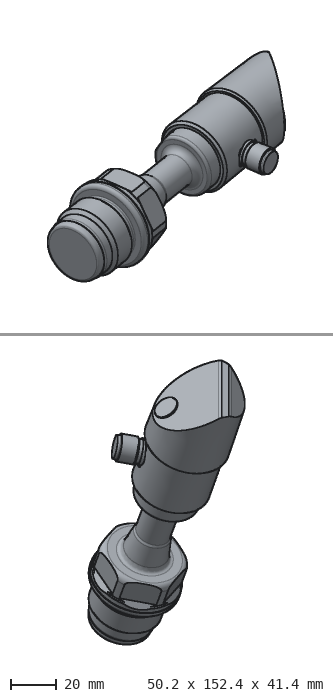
import cadquery as cq
import math

PLUG_RIM_END = 3.4
SEAL_SEAT_START = 4.5
SEAL_SEAT_END = 8.8
THREAD_START = 10.7
THREAD_END = 20.9
GROOVE_START = 22.2
FLANGE_START = 24.7
FLANGE_RIM_END = 28.2
FLANGE_STEP_END = 30.8
HEX_START = 31.4
HEX_END = 43.9
CONE_START = 46.6
CONE_END = 57.1
NECK_START = 58.4
COLLAR_START = 80.3
BODY_START = 88.4
CAP_START = 116.1
TIP = 152.4

FACE_RADIUS = 12.8
RIM_RADIUS = 14.5
SEAT_LIP_RADIUS = 14.6
SEAT_RADIUS = 15.0
THREAD_RADIUS = 16.6
FLANGE_RADIUS = 20.7
FLANGE_STEP_RADIUS = 20.4
HEX_CORNER_RADIUS = 19.8
HEX_APOTHEM = 18.0
CONE_TOP_RADIUS = 10.4
CONE_FOOT_RADIUS = 12.8
CONE_TIP_RADIUS = 8.5
NECK_RADIUS = 7.9
COLLAR_RADIUS = 15.0

FLANGE_NOSE_ROUND = 2.0
FLANGE_ROOT_ROUND = 0.6
HEX_ROUND = 2.9
COLLAR_ROUND = 1.4
NECK_FLARE_ROUND = 3.4

HEX_SIDES = 6
HEX_RUNOUT = 32.3
COLLAR_APOTHEM = 13.7
COLLAR_RUNOUT = 86.8
COLLAR_FLAT_ANGLE = 210

BODY_FOOT_RADIUS = 17.7
BODY_TOP_RADIUS = 17.4
BODY_CHAMFER = 1.2
CAP_FOOT_RADIUS = 19.2
CAP_TIP_RADIUS = 18.5
CAP_CHAMFER = 0.9

ROOF_LEFT_X = -18.9
ROOF_LEFT_Y = 145.4
ROOF_RIGHT_X = 18.9
ROOF_RIGHT_Y = 130.1
RIDGE_X = -7.8
RIDGE_Y = 154.0
RIDGE_ROUND = 4.5

BUTTON_X = 13.9
BUTTON_RADIUS = 5.5
BUTTON_HEIGHT = 0.8

CONNECTOR_Y = 105.6
SPOTFACE_RADIUS = 6.9
SPOTFACE_X = 16.9
CONNECTOR_ROOT_X = 12.2
BOSS_END_X = 18.1
NECK_END_X = 20.4
NUT_END_X = 27.7
SOCKET_TAPER_X = 28.5
CONNECTOR_END_X = 29.5
BOSS_RADIUS = 6.0
CONNECTOR_NECK_RADIUS = 5.5
NUT_RADIUS = 6.2
SOCKET_RADIUS = 5.5
SOCKET_TIP_RADIUS = 5.3
NECK_GROOVE_DEPTH = 0.5
NECK_GROOVE_WIDTH = 0.6

CLEARANCE = 7.6


def round_point(radius, center_r, center_y, angle):
    """Point on a round at the given angle from the radial direction."""
    a = math.radians(angle)
    return center_r + radius * math.cos(a), center_y + radius * math.sin(a)


def turn(outline):
    """Revolve a closed half outline about the part axis."""
    return outline.close().revolve(360, (0, 0, 0), (0, 1, 0))


def sensor_end():
    """Plug, flange, hexagon blank, neck and collar as one turned piece."""
    hex_mid = round_point(HEX_ROUND, HEX_CORNER_RADIUS - HEX_ROUND, HEX_END - HEX_ROUND, 45)
    root_r = SEAT_RADIUS + FLANGE_ROOT_ROUND
    root_y = FLANGE_START - FLANGE_ROOT_ROUND
    root_mid = round_point(FLANGE_ROOT_ROUND, root_r, root_y, 135)
    nose_r = FLANGE_RADIUS - FLANGE_NOSE_ROUND
    nose_y = FLANGE_START + FLANGE_NOSE_ROUND
    nose_mid = round_point(FLANGE_NOSE_ROUND, nose_r, nose_y, -45)
    collar_mid = round_point(COLLAR_ROUND, COLLAR_RADIUS - COLLAR_ROUND, COLLAR_START + COLLAR_ROUND, -45)
    flare_r = NECK_RADIUS + NECK_FLARE_ROUND
    flare_y = COLLAR_START - NECK_FLARE_ROUND
    flare_mid = round_point(NECK_FLARE_ROUND, flare_r, flare_y, 135)
    cone_slope = (CONE_TIP_RADIUS - CONE_TOP_RADIUS, CONE_END - CONE_START)
    outline = (
        cq.Workplane("XY")
        .lineTo(FACE_RADIUS, 0)
        .spline([(RIM_RADIUS, PLUG_RIM_END)], tangents=[(1, 0), (0, 1)], includeCurrent=True)
        .lineTo(SEAT_LIP_RADIUS, PLUG_RIM_END)
        .lineTo(SEAT_RADIUS, SEAL_SEAT_START)
        .lineTo(SEAT_RADIUS, SEAL_SEAT_END)
        .lineTo(THREAD_RADIUS, THREAD_START)
        .lineTo(THREAD_RADIUS, THREAD_END)
        .lineTo(SEAT_RADIUS, GROOVE_START)
        .lineTo(SEAT_RADIUS, root_y)
        .threePointArc(root_mid, (root_r, FLANGE_START))
        .lineTo(nose_r, FLANGE_START)
        .threePointArc(nose_mid, (FLANGE_RADIUS, nose_y))
        .lineTo(FLANGE_RADIUS, FLANGE_RIM_END)
        .lineTo(FLANGE_STEP_RADIUS, FLANGE_RIM_END)
        .lineTo(FLANGE_STEP_RADIUS, FLANGE_STEP_END)
        .lineTo(HEX_CORNER_RADIUS, HEX_START)
        .lineTo(HEX_CORNER_RADIUS, HEX_END - HEX_ROUND)
        .threePointArc(hex_mid, (HEX_CORNER_RADIUS - HEX_ROUND, HEX_END))
        .lineTo(CONE_FOOT_RADIUS, HEX_END)
        .spline([(CONE_TOP_RADIUS, CONE_START)], tangents=[(-1, 0), cone_slope], includeCurrent=True)
        .lineTo(CONE_TIP_RADIUS, CONE_END)
        .spline([(NECK_RADIUS, NECK_START)], tangents=[cone_slope, (0, 1)], includeCurrent=True)
        .lineTo(NECK_RADIUS, flare_y)
        .threePointArc(flare_mid, (flare_r, COLLAR_START))
        .lineTo(COLLAR_RADIUS - COLLAR_ROUND, COLLAR_START)
        .threePointArc(collar_mid, (COLLAR_RADIUS, COLLAR_START + COLLAR_ROUND))
        .lineTo(COLLAR_RADIUS, BODY_START)
        .lineTo(0, BODY_START)
    )
    return turn(outline)


def flat_cutter(apothem, open_end, runout, angle):
    """Tool that mills a flat from open_end to runout, then ramps outward at 45 degrees."""
    ramp = math.copysign(CLEARANCE, runout - open_end)
    return (
        cq.Workplane("XY")
        .moveTo(apothem, open_end)
        .lineTo(apothem, runout)
        .lineTo(apothem + CLEARANCE, runout + ramp)
        .lineTo(apothem + CLEARANCE, open_end)
        .close()
        .extrude(HEX_CORNER_RADIUS, both=True)
        .rotate((0, 0, 0), (0, 1, 0), angle)
    )


def body():
    """Slightly tapered housing barrel with a chamfered foot and a spotface for the connector."""
    outline = (
        cq.Workplane("XY")
        .moveTo(0, BODY_START)
        .lineTo(BODY_FOOT_RADIUS - BODY_CHAMFER, BODY_START)
        .lineTo(BODY_FOOT_RADIUS, BODY_START + BODY_CHAMFER)
        .lineTo(BODY_TOP_RADIUS, CAP_START)
        .lineTo(0, CAP_START)
    )
    spotface = (
        cq.Workplane("YZ", origin=(SPOTFACE_X, CONNECTOR_Y, 0))
        .circle(SPOTFACE_RADIUS)
        .extrude(CLEARANCE)
    )
    return turn(outline).cut(spotface)


def cap():
    """Tapered cap trimmed by a two-sided roof with a rounded ridge."""
    outline = (
        cq.Workplane("XY")
        .moveTo(0, CAP_START)
        .lineTo(CAP_FOOT_RADIUS - CAP_CHAMFER, CAP_START)
        .lineTo(CAP_FOOT_RADIUS, CAP_START + CAP_CHAMFER)
        .lineTo(CAP_TIP_RADIUS, TIP)
        .lineTo(0, TIP)
    )
    left_slope = (RIDGE_Y - ROOF_LEFT_Y) / (RIDGE_X - ROOF_LEFT_X)
    right_slope = (ROOF_RIGHT_Y - RIDGE_Y) / (ROOF_RIGHT_X - RIDGE_X)
    roof = (
        cq.Workplane("XY")
        .moveTo(ROOF_LEFT_X - CLEARANCE, CAP_START)
        .lineTo(ROOF_LEFT_X - CLEARANCE, ROOF_LEFT_Y - CLEARANCE * left_slope)
        .lineTo(RIDGE_X, RIDGE_Y)
        .lineTo(ROOF_RIGHT_X + CLEARANCE, ROOF_RIGHT_Y + CLEARANCE * right_slope)
        .lineTo(ROOF_RIGHT_X + CLEARANCE, CAP_START)
        .close()
        .extrude(CAP_FOOT_RADIUS + CLEARANCE, both=True)
        .edges(cq.selectors.NearestToPointSelector((RIDGE_X, RIDGE_Y, 0)))
        .fillet(RIDGE_ROUND)
    )
    return turn(outline).intersect(roof)


def button():
    """Round button standing proud of the display slope."""
    run = ROOF_RIGHT_X - RIDGE_X
    drop = RIDGE_Y - ROOF_RIGHT_Y
    button_y = RIDGE_Y - drop * (BUTTON_X - RIDGE_X) / run
    slope = cq.Plane(origin=(BUTTON_X, button_y, 0), xDir=(0, 0, 1), normal=(drop, run, 0))
    return (
        cq.Workplane(slope)
        .workplane(offset=-BUTTON_HEIGHT)
        .circle(BUTTON_RADIUS)
        .extrude(2 * BUTTON_HEIGHT)
    )


def connector():
    """Boss, grooved neck, coupling nut and socket stub along +X."""
    outline = (
        cq.Workplane("XY")
        .moveTo(CONNECTOR_ROOT_X, 0)
        .lineTo(CONNECTOR_ROOT_X, BOSS_RADIUS)
        .lineTo(BOSS_END_X, BOSS_RADIUS)
        .lineTo(BOSS_END_X, CONNECTOR_NECK_RADIUS)
        .lineTo(NECK_END_X - NECK_GROOVE_WIDTH, CONNECTOR_NECK_RADIUS)
        .lineTo(NECK_END_X, CONNECTOR_NECK_RADIUS - NECK_GROOVE_DEPTH)
        .lineTo(NECK_END_X, NUT_RADIUS)
        .lineTo(NUT_END_X, NUT_RADIUS)
        .lineTo(NUT_END_X, SOCKET_RADIUS)
        .lineTo(SOCKET_TAPER_X, SOCKET_RADIUS)
        .lineTo(CONNECTOR_END_X, SOCKET_TIP_RADIUS)
        .lineTo(CONNECTOR_END_X, 0)
        .close()
    )
    return outline.revolve(360, (0, 0, 0), (1, 0, 0)).translate((0, CONNECTOR_Y, 0))


result = sensor_end()
for side in range(HEX_SIDES):
    side_angle = 360 / HEX_SIDES * (side + 0.5)
    result = result.cut(flat_cutter(HEX_APOTHEM, HEX_END, HEX_RUNOUT, side_angle))
result = result.cut(flat_cutter(COLLAR_APOTHEM, COLLAR_START, COLLAR_RUNOUT, COLLAR_FLAT_ANGLE))

for piece in (body(), cap(), button(), connector()):
    result = result.union(piece)